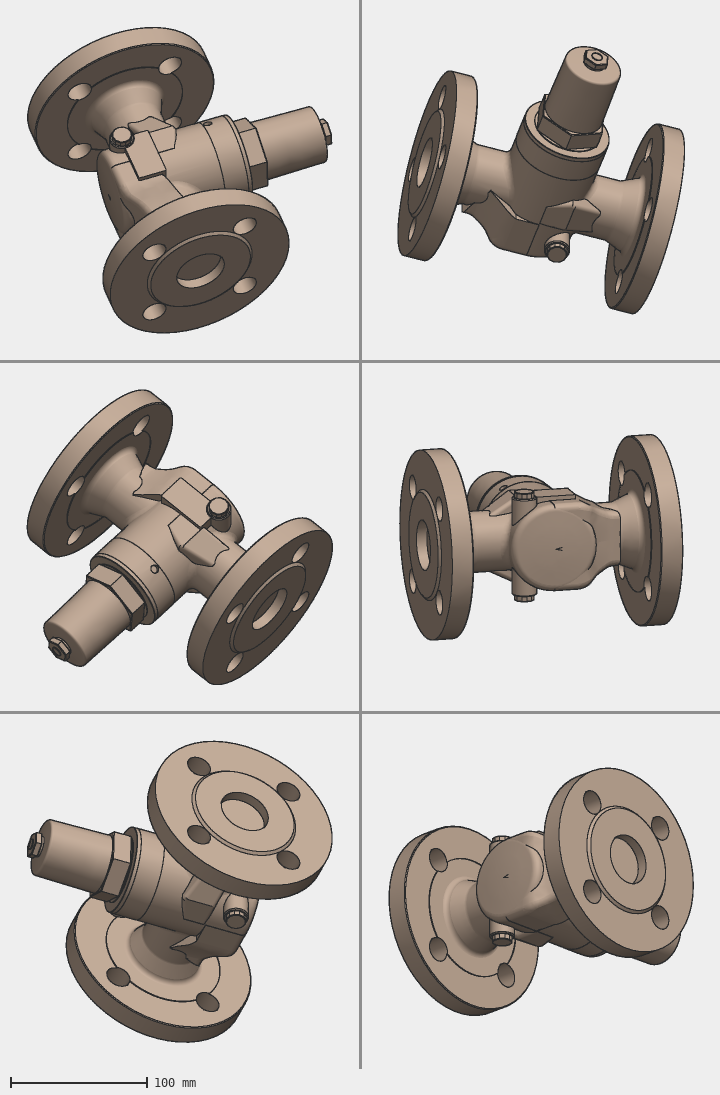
import cadquery as cq
import math


face_to_face = 180.0
flange_diameter = 140.0
flange_back_x = 71.5
flange_back_chamfer = 0.7
raised_face_height = 2.0
raised_face_base_diameter = 82.0
raised_face_diameter = 78.0
spot_face_diameter = 90.0
spot_face_height = 0.7
bolt_circle_diameter = 100.0
bolt_hole_diameter = 18.0
bolt_hole_count = 4
bolt_hole_first_angle = 45.0
bore_diameter = 37.2
bore_depth = 8.0
pipe_diameter = 45.0
hub_cone_start_x = 54.5
hub_blend_radius = 5.0
hub_cone_end_x = 67.0
hub_cone_end_radius = 27.3
hub_root_mid_x = 0.3
hub_root_mid_rise = 0.38
hub_root_radius = 31.0

body_diameter = 65.0
body_top_y = 62.0
body_rim_chamfer = 0.3
rim_joint_y = 58.8
body_side_bottom_y = -32.4
bottom_dome_radius = 27.7
bottom_dome_rim_y = -37.6
bottom_dome_y = -39.1
cap_joint_y = 40.6
cap_joint_step = 0.15
body_pipe_fillet = 5.0

screw_hole_diameter = 6.1
screw_hole_y = 44.5
screw_hole_angle = 30.0
screw_hole_depth = 3.0

hex_rotation = 3.3
bonnet_hex_flats = 46.0
bonnet_hex_top_y = 77.2
washer_radius = 25.2
washer_top_y = 62.7
housing_foot_radius = 22.1
housing_top_radius = 21.3
housing_top_y = 125.0
housing_edge_radius = 1.8
housing_dome_y = 125.9
collar_radius = 7.8
nut_flats = 17.0
nut_bottom_y = 127.4
nut_top_y = 132.6
hex_chamfer = 0.6
stud_radius = 4.0
stud_top_y = 133.28

flat_half_height = 32.8
inlet_flat_end_x = -20.0
inlet_tip_x = -42.5
inlet_tip_z = 21.0
inlet_fillet = 3.0
inlet_outline = [
    (0, 14.3), (-18, 20.5), (inlet_tip_x, 11),
    (inlet_tip_x, -10), (inlet_flat_end_x, -5.5), (0, -5.5),
]
outlet_flat_end_x = 18.0
outlet_tip_x = 54.0
outlet_tip_z = 20.5
outlet_bottom_y = -37.4
outlet_flat_top_y = -5.0
outlet_fillet = 5.0
outlet_side_curve = [(25.6, 31), (32.3, 26.9), (41, 22.7), (outlet_tip_x, outlet_tip_z)]
outlet_bottom_curve = [(27.5, -35.2), (34, -29), (43, -24.3), (outlet_tip_x, -pipe_diameter / 2)]
outlet_end_bottom = (51, -14)
outlet_end_top = (41, 6.5)

boss_x = -19.1
boss_y = -21.4
boss_radius = 9.2
boss_half_height = 36.7
boss_edge_chamfer = 0.8
plug_diameter = 15.0
plug_edge_chamfer = 0.5
plug_sides = 12
plug_half_height = 40.9
plate_left_x = -20.0
plate_right_x = 19.8
plate_bottom_y = -22.3
plate_top_y = -0.9
plate_top_z = 36.1
plate_fillet = 0.8

pipe_radius = pipe_diameter / 2
body_radius = body_diameter / 2


def mirrored_pair(solid, plane):
    """Join a solid with its mirror image."""
    return solid.union(solid.mirror(plane))


def hex_prism(flats, bottom_y, top_y):
    """Hexagonal prism along Y, turned by the common hexagon rotation."""
    corner_diameter = flats / math.cos(math.pi / 6)
    prism = cq.Workplane("XZ").polygon(6, corner_diameter).extrude(-(top_y - bottom_y))
    prism = prism.rotate((0, 0, 0), (0, 1, 0), 30 - hex_rotation)
    return prism.translate((0, bottom_y, 0)).faces(">Y or <Y").chamfer(hex_chamfer)


def make_body():
    """Turned body with a domed bottom and a slightly proud cap."""
    edge_mid = math.sqrt(0.5)
    mid_radius = bottom_dome_radius + (body_radius - bottom_dome_radius) * edge_mid
    mid_y = body_side_bottom_y + (bottom_dome_rim_y - body_side_bottom_y) * edge_mid
    cap_radius = body_radius + cap_joint_step
    dome_mid_y = bottom_dome_y + (bottom_dome_rim_y - bottom_dome_y) / 4
    return (
        cq.Workplane("XY")
        .moveTo(0, bottom_dome_y)
        .threePointArc((bottom_dome_radius / 2, dome_mid_y), (bottom_dome_radius, bottom_dome_rim_y))
        .threePointArc((mid_radius, mid_y), (body_radius, body_side_bottom_y))
        .lineTo(body_radius, cap_joint_y)
        .lineTo(cap_radius, cap_joint_y)
        .lineTo(cap_radius, rim_joint_y)
        .lineTo(body_radius, rim_joint_y)
        .lineTo(body_radius, body_top_y - body_rim_chamfer)
        .lineTo(body_radius - body_rim_chamfer, body_top_y)
        .lineTo(0, body_top_y)
        .close()
        .revolve(360, (0, 0, 0), (0, 1, 0))
    )


def make_pipe():
    length = 2 * hub_cone_end_x
    return cq.Workplane("YZ").circle(pipe_radius).extrude(length / 2, both=True)


def make_flange():
    """Right-hand flange with its hub, raised face, bore and bolt holes."""
    end_x = face_to_face / 2
    plate_x = end_x - raised_face_height
    spot_x = flange_back_x - spot_face_height
    flange_radius = flange_diameter / 2
    cone_angle = math.atan2(hub_cone_end_radius - pipe_radius, hub_cone_end_x - hub_cone_start_x)
    blend_end_x = hub_cone_start_x + hub_blend_radius * math.sin(cone_angle)
    blend_end_radius = pipe_radius + hub_blend_radius * (1 - math.cos(cone_angle))
    blend_mid = (hub_cone_start_x + hub_blend_radius * math.sin(cone_angle / 2),
                 pipe_radius + hub_blend_radius * (1 - math.cos(cone_angle / 2)))
    root_mid = (spot_x - hub_root_mid_x * (spot_x - hub_cone_end_x),
                hub_cone_end_radius + hub_root_mid_rise * (hub_root_radius - hub_cone_end_radius))
    flange = (
        cq.Workplane("XY")
        .moveTo(hub_cone_start_x, 0)
        .lineTo(hub_cone_start_x, pipe_radius)
        .threePointArc(blend_mid, (blend_end_x, blend_end_radius))
        .lineTo(hub_cone_end_x, hub_cone_end_radius)
        .threePointArc(root_mid, (spot_x, hub_root_radius))
        .lineTo(spot_x, spot_face_diameter / 2)
        .lineTo(flange_back_x, spot_face_diameter / 2)
        .lineTo(flange_back_x, flange_radius - flange_back_chamfer)
        .lineTo(flange_back_x + flange_back_chamfer, flange_radius)
        .lineTo(plate_x, flange_radius)
        .lineTo(plate_x, raised_face_base_diameter / 2)
        .lineTo(end_x, raised_face_diameter / 2)
        .lineTo(end_x, 0)
        .close()
        .revolve(360, (0, 0, 0), (1, 0, 0))
    )
    bore = cq.Workplane("YZ", origin=(end_x, 0, 0)).circle(bore_diameter / 2).extrude(-bore_depth)
    bolt_holes = (
        cq.Workplane("YZ", origin=(end_x, 0, 0))
        .polarArray(bolt_circle_diameter / 2, bolt_hole_first_angle, 360, bolt_hole_count)
        .circle(bolt_hole_diameter / 2)
        .extrude(-face_to_face / 4)
    )
    return flange.cut(bore).cut(bolt_holes)


def make_inlet_swelling():
    """Wedge on the inlet side: flat beside the body, sloping down onto the pipe."""
    section = (
        cq.Workplane("XZ")
        .moveTo(0, -flat_half_height)
        .lineTo(inlet_flat_end_x, -flat_half_height)
        .lineTo(inlet_tip_x, -inlet_tip_z)
        .lineTo(inlet_tip_x, inlet_tip_z)
        .lineTo(inlet_flat_end_x, flat_half_height)
        .lineTo(0, flat_half_height)
        .close()
        .extrude(body_diameter, both=True)
    )
    outline = (
        cq.Workplane("XY")
        .polyline(inlet_outline)
        .close()
        .extrude(body_diameter, both=True)
    )
    return section.intersect(outline).edges("not(|Z or >X)").edges("not |Y").fillet(inlet_fillet)


def make_outlet_swelling():
    """Rounded swelling that leads from the bottom of the body up into the outlet pipe."""
    half_section = (
        cq.Workplane("XZ")
        .lineTo(0, flat_half_height)
        .lineTo(outlet_flat_end_x, flat_half_height)
        .spline(outlet_side_curve, tangents=[(1, 0), (1, 0)], includeCurrent=True)
        .lineTo(outlet_tip_x, 0)
        .close()
        .extrude(body_diameter, both=True)
    )
    outline = (
        cq.Workplane("XY")
        .moveTo(0, outlet_bottom_y)
        .lineTo(outlet_flat_end_x, outlet_bottom_y)
        .spline(outlet_bottom_curve, tangents=[(1, 0), (1, 0)], includeCurrent=True)
        .lineTo(*outlet_end_bottom)
        .lineTo(*outlet_end_top)
        .lineTo(outlet_flat_end_x, outlet_flat_top_y)
        .lineTo(0, outlet_flat_top_y)
        .close()
        .extrude(body_diameter)
    )
    half = half_section.intersect(outline)
    rounded_zone = cq.selectors.BoxSelector(
        (outlet_flat_end_x / 4, outlet_bottom_y - outlet_fillet, pipe_radius / 2),
        (2 * pipe_radius, outlet_bottom_y / 2, body_radius + outlet_fillet),
    )
    half = half.edges(rounded_zone).edges("not |Z").fillet(outlet_fillet)
    return mirrored_pair(half, "XY")


def make_name_plate():
    width = plate_right_x - plate_left_x
    depth = plate_top_y - plate_bottom_y
    plate = cq.Workplane("XY").box(width, depth, plate_top_z, centered=False)
    plate = plate.edges("|Z").fillet(plate_fillet)
    return plate.translate((plate_left_x, plate_bottom_y, 0))


def make_drain_bosses():
    """Boss through the body along Z with a plug at either end."""
    at_boss = cq.Workplane("XY", origin=(boss_x, boss_y, 0))
    boss = at_boss.circle(boss_radius).extrude(boss_half_height, both=True)
    boss = boss.faces("<Z or >Z").chamfer(boss_edge_chamfer)
    plugs = at_boss.polygon(plug_sides, plug_diameter).extrude(plug_half_height, both=True)
    plugs = plugs.faces("<Z or >Z").chamfer(plug_edge_chamfer)
    return boss.union(plugs)


def make_spring_housing():
    """Bonnet hexagon, tapered housing, collar, lock nut and stud, stacked along Y."""
    shoulder_y = housing_top_y - housing_edge_radius
    dome_radius = housing_top_radius - housing_edge_radius
    shoulder_reach = housing_edge_radius * math.sqrt(0.5)
    shoulder_mid = (dome_radius + shoulder_reach, shoulder_y + shoulder_reach)
    dome_mid_y = housing_dome_y - (housing_dome_y - housing_top_y) / 4
    turned = (
        cq.Workplane("XY")
        .moveTo(0, body_top_y)
        .lineTo(washer_radius, body_top_y)
        .lineTo(washer_radius, washer_top_y)
        .lineTo(housing_foot_radius, washer_top_y)
        .lineTo(housing_foot_radius, bonnet_hex_top_y)
        .lineTo(housing_top_radius, shoulder_y)
        .threePointArc(shoulder_mid, (dome_radius, housing_top_y))
        .threePointArc((dome_radius / 2, dome_mid_y), (0, housing_dome_y))
        .close()
        .revolve(360, (0, 0, 0), (0, 1, 0))
    )
    collar = cq.Workplane("XZ").circle(collar_radius).extrude(-nut_bottom_y)
    stud = cq.Workplane("XZ").circle(stud_radius).extrude(-stud_top_y)
    nut = hex_prism(nut_flats, nut_bottom_y, nut_top_y)
    bonnet = hex_prism(bonnet_hex_flats, washer_top_y, bonnet_hex_top_y)
    return turned.union(bonnet).union(collar).union(nut).union(stud)


def make_screw_hole():
    """Radial hole in the side of the cap."""
    hole = cq.Workplane("XY", origin=(0, screw_hole_y, body_radius - screw_hole_depth))
    hole = hole.circle(screw_hole_diameter / 2).extrude(2 * screw_hole_depth)
    return hole.rotate((0, 0, 0), (0, 1, 0), -screw_hole_angle)


core = make_body().union(make_pipe())
seam_reach = (body_radius + body_pipe_fillet, pipe_radius + body_pipe_fillet, body_radius)
seam_zone = cq.selectors.BoxSelector(tuple(-reach for reach in seam_reach), seam_reach)
core = core.edges(seam_zone).fillet(body_pipe_fillet)
result = core.union(make_inlet_swelling()).union(make_outlet_swelling())
result = result.union(mirrored_pair(make_flange(), "YZ"))
result = result.union(make_drain_bosses()).union(make_name_plate()).union(make_spring_housing())
result = result.cut(make_screw_hole())